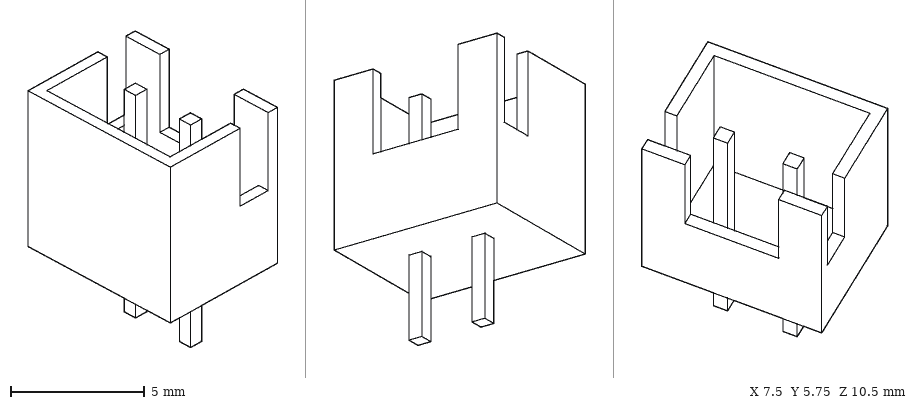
import cadquery as cq

total_height = 10.5
housing_width = 7.5
housing_depth = 5.75
pin_reach = total_height / 3
housing_height = total_height - pin_reach

wall = 0.5
floor = wall
notch_depth = housing_height / 2
side_notch_width = 1.5
back_tab_width = 1.8
back_notch_width = housing_width - 2 * back_tab_width

pin_side = 0.6
pin_pitch = 2.9
pin_row_shift = 0.02
pin_top_drop = wall
pin_length = pin_reach + housing_height - pin_top_drop

back_face = housing_depth / 2
side_notch_back = back_face - wall
side_notch_front = side_notch_back - side_notch_width
pin_y = side_notch_front - pin_side / 2
pin_positions = [(side * pin_pitch / 2 - pin_row_shift, pin_y) for side in (-1, 1)]


def box_on(z, width, depth, height, x=0.0, y=0.0):
    """Upright box centred on (x, y), standing on the level z."""
    return cq.Workplane("XY").box(width, depth, height, centered=(True, True, False)).translate((x, y, z))


def make_pin(x, y):
    """Square pin running from below the housing to just under its rim."""
    return box_on(-pin_reach, pin_side, pin_side, pin_length, x, y)


def make_housing():
    """Open-topped box with notched side and back walls and square pin holes."""
    body = box_on(0, housing_width, housing_depth, housing_height)

    cavity_height = housing_height - floor
    body = body.cut(box_on(floor, housing_width - 2 * wall, housing_depth - 2 * wall, cavity_height))

    notch_floor = housing_height - notch_depth
    side_notch_y = (side_notch_back + side_notch_front) / 2
    body = body.cut(box_on(notch_floor, housing_width, side_notch_width, notch_depth, y=side_notch_y))

    back_notch_y = back_face - wall / 2
    body = body.cut(box_on(notch_floor, back_notch_width, wall, notch_depth, y=back_notch_y))

    for x, y in pin_positions:
        body = body.cut(make_pin(x, y))
    return body


housing = make_housing()
pins = [make_pin(x, y) for x, y in pin_positions]

result = cq.Compound.makeCompound([housing.solids().val(), *[pin.val() for pin in pins]])